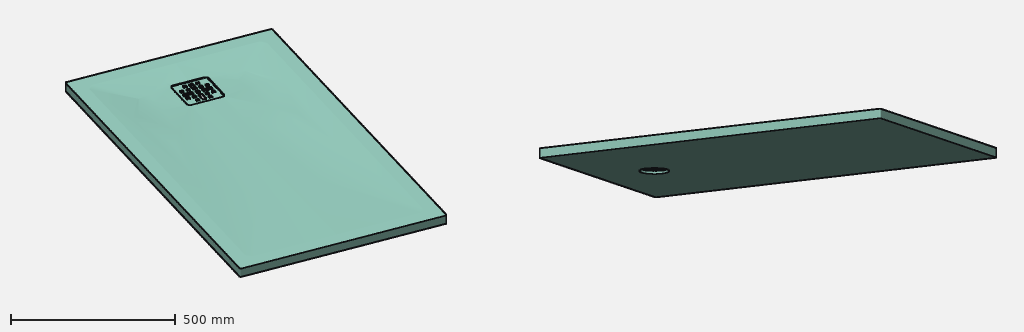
import cadquery as cq
import math

length = 1200.0
width = 700.0
height = 30.0
corner_radius = 5.0

rim_width = 49.0
floor_corner_radius = 19.0
floor_drop = 15.0

drain_from_end = 200.0
drain_x = drain_from_end - length / 2
drain_diameter = 90.0

recess_side = 126.0
recess_corner_radius = 11.0
grate_gap = 1.0
grate_thickness = 4.0
grate_sink = 1.0

hole_pitch = 22.0
hole_side = 10.0
slot_width = 12.0
slot_length = hole_pitch + hole_side
slot_offset = 1.5 * hole_pitch

floor_low_z = height - floor_drop
grate_top_z = floor_low_z - grate_sink
grate_bottom_z = grate_top_z - grate_thickness
grate_side = recess_side - 2 * grate_gap
grate_corner_radius = recess_corner_radius - grate_gap


def make_half_outline(center_x, z, size_x, size_y, radius, side):
    """Open half of a rounded rectangle, from its -X end to its +X end, on one side of Y = 0."""
    left = center_x - size_x / 2
    right = center_x + size_x / 2
    far_y = side * size_y / 2
    near_y = far_y - side * radius
    arc_inset = radius * (1 - math.sqrt(0.5))
    arc_y = far_y - side * arc_inset
    return (
        cq.Workplane("XY", origin=(0, 0, z))
        .moveTo(left, 0)
        .lineTo(left, near_y)
        .threePointArc((left + arc_inset, arc_y), (left + radius, far_y))
        .lineTo(right - radius, far_y)
        .threePointArc((right - arc_inset, arc_y), (right, near_y))
        .lineTo(right, 0)
        .wire()
        .val()
    )


def make_floor_hollow():
    """Hollow with a smooth floor in two halves that meet in straight falls along Y = 0."""
    floor_length = length - 2 * rim_width
    floor_width = width - 2 * rim_width
    halfway_length = (floor_length + recess_side) / 2
    halfway_width = (floor_width + recess_side) / 2
    halfway_z = (height + floor_low_z) / 2
    faces = []
    rim_wires = []
    recess_wires = []
    for side in (-1, 1):
        rim_half = make_half_outline(0, height, floor_length, floor_width, floor_corner_radius, side)
        recess_half = make_half_outline(
            drain_x, floor_low_z, recess_side, recess_side, recess_corner_radius, side
        )
        falls = [
            cq.Edge.makeLine(rim_half.startPoint(), recess_half.startPoint()),
            cq.Edge.makeLine(recess_half.endPoint(), rim_half.endPoint()),
        ]
        boundary = [*rim_half.Edges(), *recess_half.Edges(), *falls]
        halfway_points = [
            cq.Vector(drain_x / 2 + end * halfway_length / 2, side * halfway_width / 2, halfway_z)
            for end in (-1, 0, 1)
        ]
        faces.append(cq.Face.makeNSidedSurface(boundary, halfway_points))
        rim_wires.append(rim_half)
        recess_wires.append(recess_half)
    for halves in (rim_wires, recess_wires):
        faces.append(cq.Face.makeFromWires(cq.Wire.combine(halves)[0]))
    return cq.Workplane(cq.Solid.makeSolid(cq.Shell.makeShell(faces)))


def make_drain_plate(side, plate_radius, top_z):
    """Plain square plate at the drain, from the grate's underside up to a given height."""
    return (
        cq.Workplane("XY", origin=(drain_x, 0, grate_bottom_z))
        .rect(side, side)
        .extrude(top_z - grate_bottom_z)
        .edges("|Z")
        .fillet(plate_radius)
    )


def make_tray():
    slab = cq.Workplane("XY").rect(length, width).extrude(height)
    slab = slab.edges("|Z").fillet(corner_radius)
    recess = make_drain_plate(recess_side, recess_corner_radius, floor_low_z)
    drain_hole = cq.Workplane("XY").center(drain_x, 0).circle(drain_diameter / 2).extrude(height)
    return slab.cut(make_floor_hollow()).cut(recess).cut(drain_hole)


def make_grate():
    grate = make_drain_plate(grate_side, grate_corner_radius, grate_top_z)
    openings = cq.Workplane("XY", origin=(drain_x, 0, grate_bottom_z))

    grate = grate.cut(openings.rect(slot_width, slot_width).extrude(grate_thickness))
    for side in (-1, 1):
        offset = side * slot_offset
        grate = grate.cut(openings.center(offset, 0).rect(slot_length, slot_width).extrude(grate_thickness))
        grate = grate.cut(openings.center(0, offset).rect(slot_width, slot_length).extrude(grate_thickness))

    hole_places = [
        (side_x * step_x * hole_pitch, side_y * step_y * hole_pitch)
        for side_x in (-1, 1)
        for side_y in (-1, 1)
        for step_x, step_y in ((1, 1), (1, 2), (2, 1))
    ]
    holes = openings.pushPoints(hole_places).rect(hole_side, hole_side).extrude(grate_thickness)
    return grate.cut(holes)


tray = make_tray()
grate = make_grate()

result = cq.Compound.makeCompound([tray.val(), grate.val()])